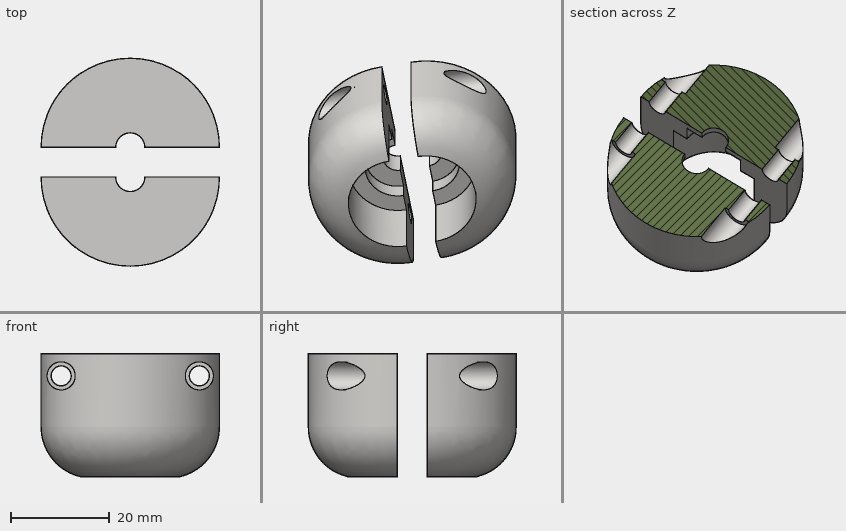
import cadquery as cq
import math

outer_diameter = 36.2
total_length = 42.2
height = 25.0
gap = total_length - outer_diameter
outer_radius = outer_diameter / 2

round_height = 10.15
round_radius = 10.45

neck_diameter = 5.85
collar_diameter = 13.25
chamber_diameter = 20.0
collar_top_depth = 6.0
chamber_top_depth = 10.0

bolt_diameter = 4.0
head_diameter = 5.7
bolt_offset = 14.0
bolt_depth = 4.5
head_seat = 5.82


def vertical_cylinder(diameter, top_depth, bottom_depth):
    """Cylinder on the Z axis between two depths below the top face."""
    return (
        cq.Workplane("XY")
        .workplane(offset=height - bottom_depth)
        .circle(diameter / 2)
        .extrude(bottom_depth - top_depth)
    )


def outward_cylinders(diameter, start):
    """Pair of bolt-hole cylinders running toward +Y from the given Y."""
    return (
        cq.Workplane("XZ", origin=(0, start, height - bolt_depth))
        .pushPoints([(-bolt_offset, 0), (bolt_offset, 0)])
        .circle(diameter / 2)
        .extrude(-outer_radius)
    )


def arc_point(angle):
    """Profile point on the lower rounding, at an angle below its level arc centre."""
    return (
        outer_radius - round_radius + round_radius * math.cos(angle),
        round_height - round_radius * math.sin(angle),
    )


def round_blank():
    """Solid of revolution with the outer shape of the weight."""
    bottom_angle = math.asin(round_height / round_radius)
    return (
        cq.Workplane("XZ")
        .moveTo(0, 0)
        .lineTo(*arc_point(bottom_angle))
        .threePointArc(arc_point(bottom_angle / 2), arc_point(0))
        .lineTo(outer_radius, height)
        .lineTo(0, height)
        .close()
        .revolve(360, (0, 0, 0), (0, 1, 0))
    )


def make_half():
    """Half on the +Y side, with its split face on the XZ plane."""
    body = round_blank()

    body = body.cut(vertical_cylinder(neck_diameter, 0, height))
    body = body.cut(vertical_cylinder(collar_diameter, collar_top_depth, chamber_top_depth))
    body = body.cut(vertical_cylinder(chamber_diameter, chamber_top_depth, height))

    keep = cq.Workplane("XY").box(outer_diameter, outer_radius, height, centered=(True, False, False))
    body = body.intersect(keep)

    body = body.cut(outward_cylinders(bolt_diameter, 0))
    return body.cut(outward_cylinders(head_diameter, head_seat))


halves = []
for angle in (0, 180):
    half = make_half().translate((0, gap / 2, 0)).rotate((0, 0, 0), (0, 0, 1), angle)
    halves.append(half.val())

result = cq.Compound.makeCompound(halves)